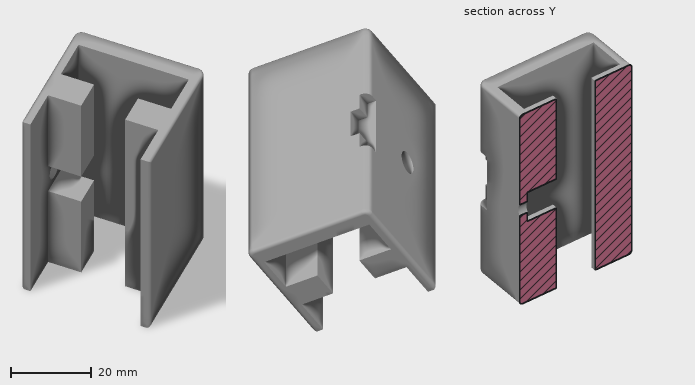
import cadquery as cq

width = 35.0
depth = 35.0
length = 60.0
side_wall = 2.5
back_wall = 5.0
back_corner_radius = 2.0
edge_radius = 1.0

rib_reach = 9.0
rib_thickness = 8.0
rib_gap_height = 9.0

hole_diameter = 6.0

notch_depth = 4.0
notch_outer_height = 16.8
notch_inner_height = 8.0
notch_outer_reach = side_wall
notch_inner_reach = 2 * side_wall

left = -width / 2
front = -depth / 2
back = depth / 2
cavity_width = width - 2 * side_wall
cavity_depth = depth - back_wall
cavity_center_y = front + cavity_depth / 2


def make_channel():
    """U-shaped channel, open to the front, with rounded outer edges."""
    block = cq.Workplane("XY").box(width, depth, length)
    block = block.edges("|Z and >Y").fillet(back_corner_radius)

    front_edges = block.edges("|Z and <Y")
    end_rims = block.faces("<Z or >Z").edges("not <Y")
    block = block.newObject(front_edges.vals() + end_rims.vals()).fillet(edge_radius)

    cavity = cq.Workplane("XY").box(cavity_width, cavity_depth, length)
    return block.cut(cavity.translate((0, cavity_center_y, 0)))


def make_rib(side):
    """Full-length rib on the left (-1) or right (+1) wall."""
    rib_x = side * (cavity_width - rib_reach) / 2
    rib = cq.Workplane("XY").box(rib_reach, rib_thickness, length)
    return rib.translate((rib_x, cavity_center_y, 0))


def split_rib(rib):
    """Remove the middle stretch of a rib."""
    return rib.cut(cq.Workplane("XY").box(width, depth, rib_gap_height))


def make_hole():
    """Cylinder through the left wall."""
    plane = cq.Workplane("YZ", origin=(left, cavity_center_y, 0))
    return plane.circle(hole_diameter / 2).extrude(side_wall)


def make_notch(reach, height):
    """Block cut inward from the left back corner."""
    notch = cq.Workplane("XY").box(reach, notch_depth, height)
    return notch.translate((left + reach / 2, back - notch_depth / 2, 0))


result = (
    make_channel()
    .union(split_rib(make_rib(-1)))
    .union(make_rib(1))
    .cut(make_hole())
    .cut(make_notch(notch_outer_reach, notch_outer_height))
    .cut(make_notch(notch_inner_reach, notch_inner_height))
)